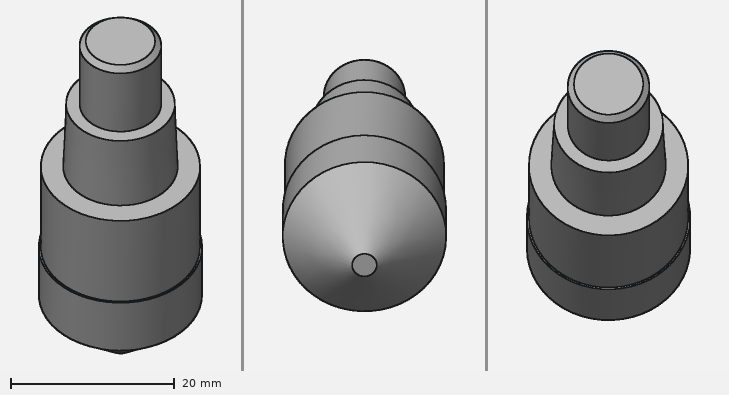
import cadquery as cq

total_height = 51.0

head_diameter = 20.0
tip_diameter = 3.0
point_height = (head_diameter - tip_diameter) / 2
rim_height = 8.0
head_top = point_height + rim_height

body_diameter = 19.5
body_height = 13.5
collar_base_diameter = 14.0
collar_top_diameter = 13.3
collar_height = 10.5
spigot_diameter = 10.0
spigot_chamfer_width = 0.75
spigot_chamfer_height = 0.7
body_top = head_top + body_height
collar_top = body_top + collar_height


def revolve_profile(points):
    """Revolve a closed (radius, height) outline about the Z axis."""
    return cq.Workplane("XZ").polyline(points).close().revolve(360, (0, 0), (0, 1))


def make_head():
    """Blunt 45 degree point below a cylindrical rim."""
    return revolve_profile([
        (0, 0),
        (tip_diameter / 2, 0),
        (head_diameter / 2, point_height),
        (head_diameter / 2, head_top),
        (0, head_top),
    ])


def make_shank():
    """Stepped shank standing on the flat top of the head."""
    spigot_radius = spigot_diameter / 2
    return revolve_profile([
        (0, head_top),
        (body_diameter / 2, head_top),
        (body_diameter / 2, body_top),
        (collar_base_diameter / 2, body_top),
        (collar_top_diameter / 2, collar_top),
        (spigot_radius, collar_top),
        (spigot_radius, total_height - spigot_chamfer_height),
        (spigot_radius - spigot_chamfer_width, total_height),
        (0, total_height),
    ])


head = make_head()
shank = make_shank()

result = cq.Compound.makeCompound([head.val(), shank.val()])